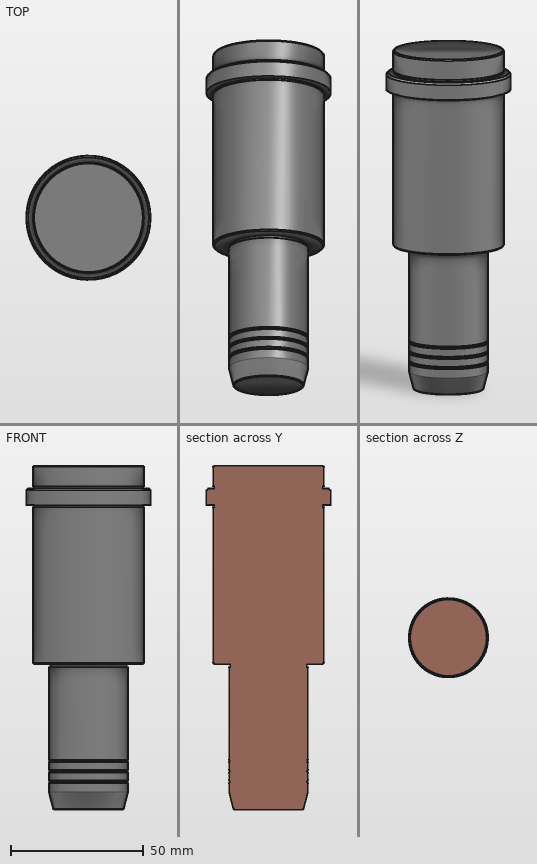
import cadquery as cq

flange_diameter = 47.0
body_diameter = 42.0
pin_diameter = 30.0
tip_diameter = 26.5

total_height = 130.0
flange_top = 121.4
flange_bottom = 115.0
body_bottom = 55.0
taper_top = 6.9

tip_chamfer = 0.4
flange_top_chamfer = 0.8
body_chamfer = 0.5
relief_depth = 0.4
relief_height = 0.8
neck_depth = 0.5
neck_height = 1.0
groove_depth = 0.4
groove_width = 1.0
groove_count = 3
groove_pitch = 3.9
lowest_groove_bottom = 10.1


def cylinder(diameter, bottom, top):
    return cq.Workplane("XY").workplane(offset=bottom).circle(diameter / 2).extrude(top - bottom)


def ring_groove(diameter, depth, bottom, height):
    """Ring cutter that reduces a shaft of the given diameter by depth."""
    core = cylinder(diameter - 2 * depth, bottom, bottom + height)
    return cylinder(diameter, bottom, bottom + height).cut(core)


def v_groove(diameter, depth, bottom, width):
    """Ring cutter with a V profile that narrows towards the axis."""
    radius = diameter / 2
    profile = [(radius, bottom), (radius - depth, bottom + width / 2), (radius, bottom + width)]
    return cq.Workplane("XZ").polyline(profile).close().revolve(360, (0, 0, 0), (0, 1, 0))


body = cylinder(body_diameter, body_bottom, total_height)
body = body.faces(">Z").edges().chamfer(body_chamfer).faces("<Z").edges().chamfer(body_chamfer)
for relief_bottom in (flange_bottom - relief_height, flange_top):
    body = body.cut(ring_groove(body_diameter, relief_depth, relief_bottom, relief_height))

flange = cylinder(flange_diameter, flange_bottom, flange_top)
flange = flange.faces(">Z").chamfer(flange_top_chamfer)

pin = cylinder(pin_diameter, taper_top, body_bottom)
pin = pin.cut(ring_groove(pin_diameter, neck_depth, body_bottom - neck_height, neck_height))
for index in range(groove_count):
    groove_bottom = lowest_groove_bottom + index * groove_pitch
    pin = pin.cut(v_groove(pin_diameter, groove_depth, groove_bottom, groove_width))

tip = (
    cq.Workplane("XY")
    .circle(tip_diameter / 2)
    .workplane(offset=taper_top)
    .circle(pin_diameter / 2)
    .loft(ruled=True)
    .faces("<Z")
    .chamfer(tip_chamfer)
)

result = body.union(flange).union(pin).union(tip)